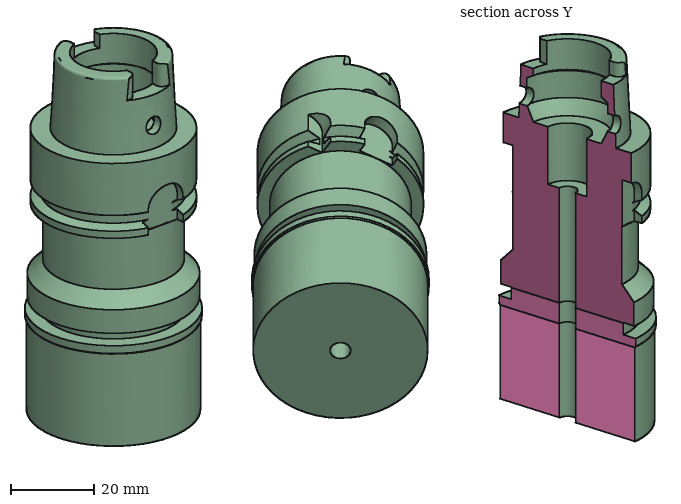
import cadquery as cq
import math

TOTAL_HEIGHT = 95.0
TAPER_LENGTH = 20.0
FLANGE_HEIGHT = 19.95
FLANGE_TOP = TOTAL_HEIGHT - TAPER_LENGTH
FLANGE_BOTTOM = FLANGE_TOP - FLANGE_HEIGHT

SLEEVE_DIAMETER = 42.0
SLEEVE_TOP = 24.6

RIM_DIAMETER = 42.7
RIM_CHAMFER = (RIM_DIAMETER - SLEEVE_DIAMETER) / 2
RIM_TOP = 27.0
COLLAR_NECK_DIAMETER = 35.1

HOLDER_BOTTOM = 30.0
SHOULDER_DIAMETER = 41.5
HOLDER_NECK_DIAMETER = 34.1
SHOULDER_SLOPE_TOP = 40.0
SHOULDER_SLOPE_HEIGHT = (SHOULDER_DIAMETER - HOLDER_NECK_DIAMETER) / 2

FLANGE_DIAMETER = 40.0
GROOVE_FLOOR_DIAMETER = 35.1
GROOVE_LOWER_LIP = 56.9
GROOVE_FLOOR_BOTTOM = 57.9
GROOVE_FLOOR_TOP = 59.9
GROOVE_UPPER_LIP = 61.1

TAPER_BASE_DIAMETER = 30.4
TAPER_RATIO = 0.1
TAPER_TOP_DIAMETER = TAPER_BASE_DIAMETER - TAPER_RATIO * TAPER_LENGTH
TAPER_RIM_FILLET = 0.8

MOUTH_DIAMETER = 21.0
MOUTH_DEPTH = 8.0
CHAMBER_DIAMETER = 25.1
CHAMBER_SLOPE_HEIGHT = 1.1
CHAMBER_WALL_BOTTOM = 78.85
CHAMBER_FLOOR = 75.0
COUNTERBORE_DIAMETER = 12.0
COUNTERBORE_FLOOR = 59.9
CORE_HOLE_DIAMETER = 4.9

CROSS_HOLE_DIAMETER = 4.6
CROSS_HOLE_HEIGHT = 80.9

DRIVER_WIDTH = 8.1
DRIVER_DEPTHS = {-1: 3.7, 1: 6.1}
DRIVER_CORNER_RADIUS = 1.7
DRIVER_END_FLAT = 12.8

FLANGE_SLOT_TOP = 67.1
FLANGE_SLOT_FLOOR = 17.1
NARROW_SLOT_WIDTH = 9.0
WIDE_SLOT_WIDTH = 11.0
NOTCH_FLOOR = 12.1
NOTCH_CENTRE_Y = 16.5

CORE_RADIUS = CORE_HOLE_DIAMETER / 2


def revolve_profile(points):
    """Solid of revolution about Z from (radius, height) points."""
    return cq.Workplane("XZ").polyline(points).close().revolve(360, (0, 0), (0, 1))


def make_sleeve():
    """Plain cylinder at the foot of the chuck, with the core hole through it."""
    return cq.Workplane("XY").circle(SLEEVE_DIAMETER / 2).circle(CORE_RADIUS).extrude(SLEEVE_TOP)


def make_collar():
    """Rim that rests on the sleeve, with a narrower neck that carries the holder."""
    neck_radius = COLLAR_NECK_DIAMETER / 2
    rim_radius = RIM_DIAMETER / 2
    return revolve_profile([
        (CORE_RADIUS, SLEEVE_TOP),
        (SLEEVE_DIAMETER / 2, SLEEVE_TOP),
        (rim_radius, SLEEVE_TOP + RIM_CHAMFER),
        (rim_radius, RIM_TOP),
        (neck_radius, RIM_TOP),
        (neck_radius, HOLDER_BOTTOM),
        (CORE_RADIUS, HOLDER_BOTTOM),
    ])


def holder_body():
    """Shoulder, neck and grooved flange below the taper, without bores."""
    shoulder_radius = SHOULDER_DIAMETER / 2
    neck_radius = HOLDER_NECK_DIAMETER / 2
    flange_radius = FLANGE_DIAMETER / 2
    groove_radius = GROOVE_FLOOR_DIAMETER / 2
    return revolve_profile([
        (0, HOLDER_BOTTOM),
        (shoulder_radius, HOLDER_BOTTOM),
        (shoulder_radius, SHOULDER_SLOPE_TOP - SHOULDER_SLOPE_HEIGHT),
        (neck_radius, SHOULDER_SLOPE_TOP),
        (neck_radius, FLANGE_BOTTOM),
        (flange_radius, FLANGE_BOTTOM),
        (flange_radius, GROOVE_LOWER_LIP),
        (groove_radius, GROOVE_FLOOR_BOTTOM),
        (groove_radius, GROOVE_FLOOR_TOP),
        (flange_radius, GROOVE_UPPER_LIP),
        (flange_radius, FLANGE_TOP),
        (0, FLANGE_TOP),
    ])


def flange_slot(side, floor, width, centre_y=0.0):
    """Cutter for a slot with a round top, open at the flange's underside and rim."""
    radius = width / 2
    arch_height = FLANGE_SLOT_TOP - radius
    outline = (
        cq.Workplane("YZ", origin=(side * floor, centre_y, 0))
        .moveTo(-radius, FLANGE_BOTTOM)
        .lineTo(-radius, arch_height)
        .threePointArc((0, FLANGE_SLOT_TOP), (radius, arch_height))
        .lineTo(radius, FLANGE_BOTTOM)
        .close()
    )
    return outline.extrude(side * FLANGE_DIAMETER / 2)


def driver_slot(side, depth):
    """Cutter for one driver slot: it rounds off the ends of the rim and leaves a flat beyond them."""
    half_width = DRIVER_WIDTH / 2
    radius = DRIVER_CORNER_RADIUS
    reach = TAPER_BASE_DIAMETER / 2
    corner_x = DRIVER_END_FLAT - radius
    diagonal = radius * math.sqrt(0.5)
    mid_x = corner_x + diagonal
    mid_y = half_width + radius - diagonal
    end_y = half_width + radius
    return (
        cq.Workplane("XY", origin=(0, 0, TOTAL_HEIGHT - depth))
        .moveTo(0, -half_width)
        .lineTo(side * corner_x, -half_width)
        .threePointArc((side * mid_x, -mid_y), (side * DRIVER_END_FLAT, -end_y))
        .lineTo(side * DRIVER_END_FLAT, -reach)
        .lineTo(side * reach, -reach)
        .lineTo(side * reach, reach)
        .lineTo(side * DRIVER_END_FLAT, reach)
        .lineTo(side * DRIVER_END_FLAT, end_y)
        .threePointArc((side * mid_x, mid_y), (side * corner_x, half_width))
        .lineTo(0, half_width)
        .close()
        .extrude(depth)
    )


def bores():
    """Cutter for the stepped bore: mouth, wider chamber, counterbore and core hole."""
    mouth_radius = MOUTH_DIAMETER / 2
    chamber_radius = CHAMBER_DIAMETER / 2
    counterbore_radius = COUNTERBORE_DIAMETER / 2
    mouth_bottom = TOTAL_HEIGHT - MOUTH_DEPTH
    return revolve_profile([
        (0, HOLDER_BOTTOM),
        (CORE_RADIUS, HOLDER_BOTTOM),
        (CORE_RADIUS, COUNTERBORE_FLOOR),
        (counterbore_radius, COUNTERBORE_FLOOR),
        (counterbore_radius, CHAMBER_FLOOR),
        (mouth_radius, CHAMBER_FLOOR),
        (chamber_radius, CHAMBER_WALL_BOTTOM),
        (chamber_radius, mouth_bottom - CHAMBER_SLOPE_HEIGHT),
        (mouth_radius, mouth_bottom),
        (mouth_radius, TOTAL_HEIGHT),
        (0, TOTAL_HEIGHT),
    ])


def taper():
    """Solid taper with a rounded rim and two driver slots of different depths."""
    cone = revolve_profile([
        (0, FLANGE_TOP),
        (TAPER_BASE_DIAMETER / 2, FLANGE_TOP),
        (TAPER_TOP_DIAMETER / 2, TOTAL_HEIGHT),
        (0, TOTAL_HEIGHT),
    ])
    cone = cone.faces(">Z").edges().fillet(TAPER_RIM_FILLET)
    for side, depth in DRIVER_DEPTHS.items():
        cone = cone.cut(driver_slot(side, depth))
    return cone


def make_holder():
    """Holder with hollow taper, flange slots, cross holes and stepped bore."""
    holder = holder_body().union(taper()).cut(bores())
    holder = holder.cut(flange_slot(-1, FLANGE_SLOT_FLOOR, NARROW_SLOT_WIDTH))
    holder = holder.cut(flange_slot(1, FLANGE_SLOT_FLOOR, WIDE_SLOT_WIDTH))
    holder = holder.cut(flange_slot(-1, NOTCH_FLOOR, NARROW_SLOT_WIDTH, NOTCH_CENTRE_Y))
    cross_hole = (
        cq.Workplane("YZ", origin=(0, 0, CROSS_HOLE_HEIGHT))
        .circle(CROSS_HOLE_DIAMETER / 2)
        .extrude(TAPER_BASE_DIAMETER / 2, both=True)
    )
    return holder.cut(cross_hole)


sleeve = make_sleeve()
collar = make_collar()
holder = make_holder()

result = cq.Compound.makeCompound([sleeve.val(), collar.val(), holder.val()])